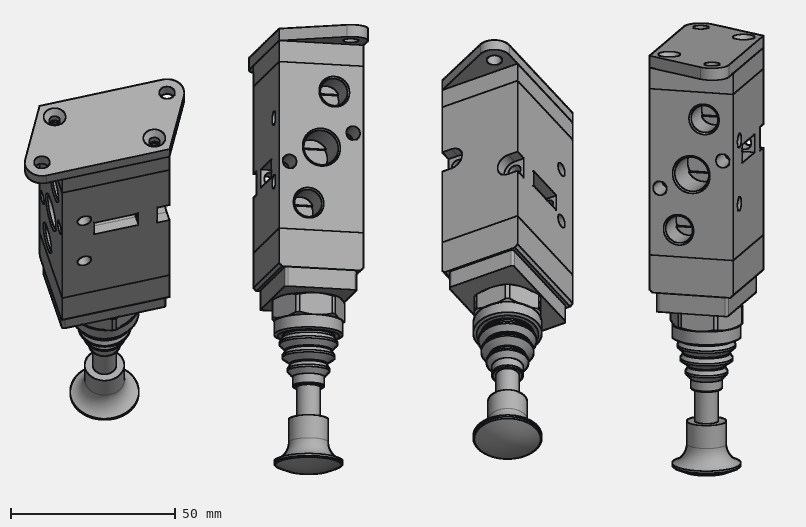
import cadquery as cq
import math


block_x = 26.5
block_y = 33.9
half_x = block_x / 2
half_y = block_y / 2

plate_bottom = -3.8
body_top = -10.4
body_bottom = -62.5
cap_bottom = -74.4
collar_bottom = -80.5
nut_bottom = -87.3
ring_bottom = -91.7
boot_bottom = -107.7
knob_top = -117.8
knob_bottom = -134.5
body_mid = (body_top + body_bottom) / 2

plate_y = 54.3
plate_corner_radius = 5.2
mount_hole_diameter = 4.7
screw_hole_diameter = 3.2
countersink_diameter = 6.7
countersink_angle = 90
screw_x = 8.0
screw_y = 13.6
pilot_hole_diameter = 1.9
pilot_hole_depth = 2.7
mount_x = half_x - plate_corner_radius
mount_y = plate_y / 2 - plate_corner_radius

port_spacing = 17.6
side_port_offset = 4.0
side_port_diameter = 8.5
side_port_depth = 10.8
side_port_slot = 3.5
centre_port_diameter = 10.8
centre_port_depth = 13.5
centre_port_slot = 5.4
port_chamfer = 0.5
port_slot_depth = 1.3
bolt_hole_diameter = 4.3
bolt_offset = 10.0
bolt_rise = bolt_offset / 2
nut_pocket_width = 7.4
nut_pocket_depth = 3.9
window_width = 5.6
window_front = -6.9
window_back = 7.1

cap_chamfer = 1.0
collar_x = 22.6
collar_y = 32.8
collar_corner = 0.8

nut_across_flats = 20.2
nut_corner_radius = 11.3
nut_chamfer_height = 0.7
nut_turn = 30
ring_radius = 10.5
ring_chamfer_width = 1.1
ring_chamfer_height = 0.4

boot_neck_height = 0.7
fold_pitch = 4.2
fold_rise = 1.3
fold_edge = 0.7
groove_floor = 0.4
ridge_radii = [8.9, 8.1, 6.5]
groove_radii = [8.1, 7.1, 5.6]
sleeve_radius = 4.8
boot_chamfer = 0.4

rod_radius = 3.6
knob_stem_radius = 6.0
knob_rim_radius = 10.5
knob_flare_top = -125.0
knob_rim_top = -131.0
knob_rim_bottom = -132.1
knob_rim_bevel_width = 0.4
knob_rim_bevel_height = 0.4


def block(size_x, size_y, top, bottom):
    """Upright box centred on the stem axis between two levels."""
    return cq.Workplane("XY").workplane(offset=bottom).rect(size_x, size_y).extrude(top - bottom)


def revolve_about_stem(outline):
    """Full turn of an XZ outline about the Z axis."""
    return outline.close().revolve(360, (0, 0, 0), (0, 1, 0))


def make_plate():
    """Parallelogram plate; its two sharp tips are rounded concentric with the mounting holes."""
    run = half_x + mount_x
    rise = mount_y - half_y
    slope = math.atan2(rise, run) + math.asin(plate_corner_radius / math.hypot(run, rise))
    tip_y = half_y + block_x * math.tan(slope)
    plate = (
        cq.Workplane("XY")
        .polyline([(half_x, half_y), (-half_x, tip_y), (-half_x, -half_y), (half_x, -tip_y)])
        .close()
        .extrude(plate_bottom)
    )
    for side in (1, -1):
        tip = (-side * half_x, side * tip_y, plate_bottom / 2)
        plate = plate.edges(cq.selectors.NearestToPointSelector(tip)).fillet(plate_corner_radius)
    top_face = cq.Workplane("XY")
    plate = plate.copyWorkplane(top_face).pushPoints([(-mount_x, mount_y), (mount_x, -mount_y)])
    plate = plate.hole(mount_hole_diameter)
    plate = plate.copyWorkplane(top_face).pushPoints([(screw_x, screw_y), (-screw_x, -screw_y)])
    return plate.cskHole(screw_hole_diameter, countersink_diameter, countersink_angle)


def port(x, z, diameter, depth, slot_width):
    """Cutter for a chamfered blind port in the front face, with a slot across its floor."""
    radius = diameter / 2
    face = cq.Workplane("XZ", origin=(x, -half_y, z))
    bore = face.circle(radius).extrude(-depth)
    mouth = (
        face.circle(radius + port_chamfer)
        .workplane(offset=-port_chamfer)
        .circle(radius)
        .loft()
    )
    slot = (
        face.circle(radius).extrude(-depth - port_slot_depth)
        .intersect(face.rect(diameter, slot_width).extrude(-depth - port_slot_depth))
    )
    return bore.union(mouth).union(slot)


def side_slot(width, front, back):
    """Cutter for a round-ended slot open to the -X face and centred on the left bolt hole."""
    straight = cq.Workplane("XY").box(half_x - bolt_offset, back - front, width).translate(
        (-(half_x + bolt_offset) / 2, (front + back) / 2, body_mid - bolt_rise)
    )
    round_end = (
        cq.Workplane("XZ", origin=(-bolt_offset, front, body_mid - bolt_rise))
        .circle(width / 2)
        .extrude(front - back)
    )
    return straight.union(round_end)


def make_body():
    """Valve body, unchanged by a half turn about the Y axis through the centre port."""
    body = block(block_x, block_y, body_top, body_bottom)
    body = body.cut(port(0, body_mid, centre_port_diameter, centre_port_depth, centre_port_slot))
    for side in (1, -1):
        body = body.cut(port(
            side * side_port_offset, body_mid + side * port_spacing,
            side_port_diameter, side_port_depth, side_port_slot,
        ))
        front_bolt = (
            cq.Workplane("XZ", origin=(side * bolt_offset, 0, body_mid + side * bolt_rise))
            .circle(bolt_hole_diameter / 2)
            .extrude(half_y, both=True)
        )
        side_bolt = (
            cq.Workplane("YZ", origin=(0, -bolt_offset, body_mid + side * bolt_offset))
            .circle(bolt_hole_diameter / 2)
            .extrude(half_x, both=True)
        )
        body = body.cut(front_bolt).cut(side_bolt)
    for turn in (0, 180):
        for slot in (
            side_slot(nut_pocket_width, half_y - nut_pocket_depth, half_y),
            side_slot(window_width, window_front, window_back),
        ):
            body = body.cut(slot.rotate((0, 0, body_mid), (0, 1, body_mid), turn))
    return body


def make_top_cap():
    """Plain end cap with a blind pilot hole under each plate screw hole."""
    cap = block(block_x, block_y, plate_bottom, body_top)
    pilots = (
        cq.Workplane("XY")
        .workplane(offset=plate_bottom)
        .pushPoints([(screw_x, screw_y), (-screw_x, -screw_y)])
        .circle(pilot_hole_diameter / 2)
        .extrude(-pilot_hole_depth)
    )
    return cap.cut(pilots)


def make_lower_cap():
    cap = block(block_x, block_y, body_bottom, cap_bottom)
    return cap.faces("<Z").edges("|Y").chamfer(cap_chamfer)


def make_collar():
    return block(collar_x, collar_y, cap_bottom, collar_bottom).edges("|Z").fillet(collar_corner)


def make_nut():
    """Hexagon with flats facing +Y and -Y, trimmed to a round with chamfered ends."""
    height = collar_bottom - nut_bottom
    hexagon = (
        cq.Workplane("XY")
        .workplane(offset=nut_bottom)
        .transformed(rotate=(0, 0, nut_turn))
        .polygon(6, nut_across_flats, circumscribed=True)
        .extrude(height)
    )
    flat_radius = nut_across_flats / 2
    trim = revolve_about_stem(cq.Workplane("XZ").polyline([
        (0, nut_bottom),
        (flat_radius, nut_bottom),
        (nut_corner_radius, nut_bottom + nut_chamfer_height),
        (nut_corner_radius, collar_bottom - nut_chamfer_height),
        (flat_radius, collar_bottom),
        (0, collar_bottom),
    ]))
    return hexagon.intersect(trim)


def make_ring():
    return revolve_about_stem(cq.Workplane("XZ").polyline([
        (0, nut_bottom),
        (ring_radius, nut_bottom),
        (ring_radius, ring_bottom + ring_chamfer_height),
        (ring_radius - ring_chamfer_width, ring_bottom),
        (0, ring_bottom),
    ]))


def make_boot():
    """Tapering boot of three folds, each below its groove, ending in a short sleeve."""
    points = [(0, ring_bottom), (groove_radii[0], ring_bottom)]
    lower_radii = groove_radii[1:] + [sleeve_radius]
    for index, (upper, ridge, lower) in enumerate(zip(groove_radii, ridge_radii, lower_radii)):
        fold_top = ring_bottom - boot_neck_height - index * fold_pitch
        points += [
            (upper, fold_top),
            (ridge, fold_top - fold_rise),
            (ridge, fold_top - fold_rise - fold_edge),
            (lower, fold_top - fold_pitch + groove_floor),
        ]
    points += [
        (sleeve_radius, boot_bottom + boot_chamfer),
        (sleeve_radius - boot_chamfer, boot_bottom),
        (0, boot_bottom),
    ]
    return revolve_about_stem(cq.Workplane("XZ").polyline(points))


def make_rod():
    length = boot_bottom - knob_top
    return cq.Workplane("XY").workplane(offset=knob_top).circle(rod_radius).extrude(length)


def make_knob():
    """Stem flaring through a concave arc, tangent to the stem, into a domed head."""
    flare_run = knob_rim_radius - knob_stem_radius
    flare_drop = knob_flare_top - knob_rim_top
    flare_radius = (flare_run**2 + flare_drop**2) / (2 * flare_run)
    half_sweep = math.asin(flare_drop / flare_radius) / 2
    flare_middle = (
        knob_stem_radius + flare_radius * (1 - math.cos(half_sweep)),
        knob_flare_top - flare_radius * math.sin(half_sweep),
    )
    dome_height = knob_rim_bottom - knob_bottom
    dome_edge = knob_rim_radius - knob_rim_bevel_width
    dome_radius = (dome_edge**2 + dome_height**2) / (2 * dome_height)
    dome_half_sweep = math.asin(dome_edge / dome_radius) / 2
    dome_middle = (
        dome_radius * math.sin(dome_half_sweep),
        knob_bottom + dome_radius * (1 - math.cos(dome_half_sweep)),
    )
    return revolve_about_stem(
        cq.Workplane("XZ")
        .moveTo(0, knob_top)
        .lineTo(knob_stem_radius, knob_top)
        .lineTo(knob_stem_radius, knob_flare_top)
        .threePointArc(flare_middle, (knob_rim_radius, knob_rim_top))
        .lineTo(knob_rim_radius, knob_rim_bottom + knob_rim_bevel_height)
        .lineTo(dome_edge, knob_rim_bottom)
        .threePointArc(dome_middle, (0, knob_bottom))
    )


plate = make_plate()
top_cap = make_top_cap()
body = make_body()
lower_cap = make_lower_cap()
collar = make_collar()
nut = make_nut()
ring = make_ring()
boot = make_boot()
rod = make_rod()
knob = make_knob()

result = cq.Compound.makeCompound([
    plate.val(), top_cap.val(), body.val(), lower_cap.val(), collar.val(),
    nut.val(), ring.val(), boot.val(), rod.val(), knob.val(),
])